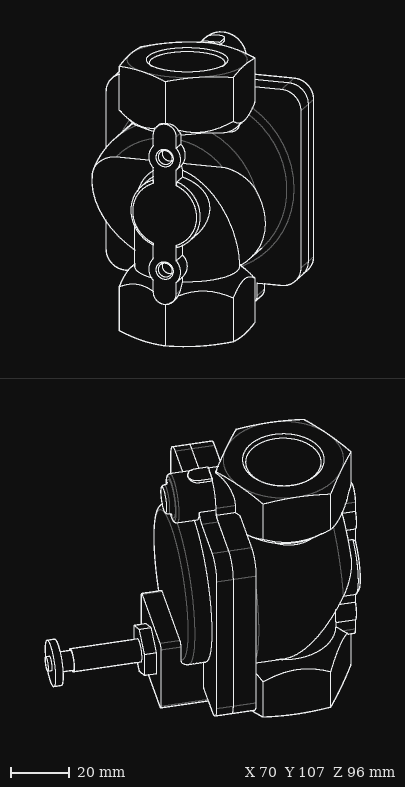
import cadquery as cq
import math


front_y = -24.3
cup_front_y = -19.2
flange_front_y = 17.5
joint_y = 25.6
cover_flange_y = 31.4
dome_y = 39.3

flange_size = 70.0
flange_corner_radius = 7.0
flange_top_z = flange_size / 2

cup_radius = 30.6
cup_edge_radius = 4.9
cup_blend_radius = 1.9
slant_angle = 30.0
slant_top_z = 17.1

pipe_radius = 17.9
pipe_length = 96.0
pipe_half_length = pipe_length / 2
hex_half_angle = 30.0
hex_flats = 41.0
hex_corners = hex_flats / math.cos(math.radians(hex_half_angle))
hex_neck_z = 25.7
end_bevel_angle = 15.0
bore_diameter = 24.0
thread_diameter = 25.7
mouth_diameter = 27.8
mouth_depth = (mouth_diameter - thread_diameter) / 2

rib_width = 8.2
rib_length = 64.3
lobe_radius = 5.7
lobe_spacing = 40.1
center_boss_radius = 12.4
center_boss_bevel = 1.0
rib_back_y = -6.4
screw_hole_diameter = 4.9
screw_hole_depth = 6.4
screw_hole_bevel = 0.6
drill_tip_angle = 118.0

pilot_z = 38.1
pilot_radius = 17.0 / 2
pilot_edge_radius = 0.9
plug_radius = 5.0
plug_tip_diameter = 9.0
plug_flare = 1.6
plug_height = 2.6
pad_width = 6.4
pad_end_y = 33.4
pad_top_z = 47.0
web_half_width = 12.1
web_top_z = 37.3

dome_radius = 27.8
dome_edge_radius = 1.9
block_width = 30.1
block_top_z = -13.8
block_bottom_z = -41.9
block_corner_radius = 1.6
block_y = 46.2
lower_tab_width = 38.5
lower_tab_bottom_z = -42.9
lower_tab_corner_radius = 3.4
tube_z = -27.0
nut_flats = 16.0
nut_y = 50.4
tube_diameter = 8.0
tube_y = 73.9
neck_diameter = 7.0
neck_y = 78.8
disc_diameter = 16.0
disc_y = 81.4
tip_diameter = 5.0
tip_y = 82.7


def sketch_plane(back_y):
    """XZ sketch plane at back_y; extruding goes toward -Y."""
    return cq.Workplane("XZ", origin=(0, back_y, 0))


def box_along_y(width, bottom_z, top_z, start_y, end_y):
    height = top_z - bottom_z
    return (sketch_plane(end_y).center(0, bottom_z + height / 2)
            .rect(width, height).extrude(end_y - start_y))


def cylinder_along_y(diameter, z, start_y, end_y):
    return sketch_plane(end_y).center(0, z).circle(diameter / 2).extrude(end_y - start_y)


def square_flange(start_y, end_y):
    return (box_along_y(flange_size, -flange_top_z, flange_top_z, start_y, end_y)
            .edges("|Y").fillet(flange_corner_radius))



def slanted_cup():
    """Round cup about Y, with its lower front cut away along a slanted plane."""
    blend_outer_radius = cup_radius + cup_blend_radius
    edge_center_radius = cup_radius - cup_edge_radius
    cup = (
        cq.Workplane("XY")
        .moveTo(0, cup_front_y)
        .lineTo(edge_center_radius, cup_front_y)
        .radiusArc((cup_radius, cup_front_y + cup_edge_radius), -cup_edge_radius)
        .lineTo(cup_radius, flange_front_y - cup_blend_radius)
        .radiusArc((blend_outer_radius, flange_front_y), cup_blend_radius)
        .lineTo(0, flange_front_y)
        .close()
        .revolve(360, (0, 0, 0), (0, 1, 0))
    )
    bottom_z = -2 * cup_radius
    slant_depth = (slant_top_z - bottom_z) * math.tan(math.radians(slant_angle))
    wedge = (
        cq.Workplane("YZ")
        .moveTo(cup_front_y, slant_top_z)
        .lineTo(cup_front_y, bottom_z)
        .lineTo(cup_front_y + slant_depth, bottom_z)
        .close()
        .extrude(2 * cup_radius, both=True)
    )
    return cup.cut(wedge)


def hex_end():
    """Upper hexagonal pipe end, coned at 45 degrees inside and bevelled outside."""
    inner_radius = hex_flats / 2
    outer_radius = hex_corners / 2
    bevel_drop = (outer_radius - inner_radius) * math.tan(math.radians(end_bevel_angle))
    prism = (
        cq.Workplane("XY", origin=(0, 0, hex_neck_z))
        .polygon(6, hex_corners).extrude(pipe_half_length - hex_neck_z)
        .rotate((0, 0, 0), (0, 0, 1), hex_half_angle)
    )
    envelope = (
        cq.Workplane("XZ")
        .moveTo(0, hex_neck_z)
        .lineTo(pipe_radius, hex_neck_z)
        .lineTo(outer_radius, hex_neck_z + outer_radius - pipe_radius)
        .lineTo(outer_radius, pipe_half_length - bevel_drop)
        .lineTo(inner_radius, pipe_half_length)
        .lineTo(0, pipe_half_length)
        .close()
        .revolve(360, (0, 0, 0), (0, 1, 0))
    )
    return prism.intersect(envelope)


def pipe_bore():
    """Through bore, tapered from each bevelled mouth down to the bore diameter."""
    bore = cq.Workplane("XY").circle(bore_diameter / 2).extrude(pipe_half_length, both=True)
    mouth = (
        cq.Workplane("XZ")
        .moveTo(0, pipe_half_length)
        .lineTo(mouth_diameter / 2, pipe_half_length)
        .lineTo(thread_diameter / 2, pipe_half_length - mouth_depth)
        .lineTo(bore_diameter / 2, hex_neck_z)
        .lineTo(0, hex_neck_z)
        .close()
        .revolve(360, (0, 0, 0), (0, 1, 0))
    )
    return bore.union(mouth).union(mouth.mirror("XY"))


def mounting_rib():
    """Upright rib with a round boss in the middle and a lobe around each screw hole."""
    depth = rib_back_y - front_y
    rib = sketch_plane(rib_back_y).slot2D(rib_length, rib_width, 90).extrude(depth)
    boss = (sketch_plane(rib_back_y).circle(center_boss_radius).extrude(depth)
            .faces("<Y").edges().chamfer(center_boss_bevel))
    rib = rib.union(boss)
    for z in (-lobe_spacing / 2, lobe_spacing / 2):
        rib = rib.union(cylinder_along_y(2 * lobe_radius, z, front_y, rib_back_y))
    return rib


def screw_hole(z):
    """Blind drilled hole with a bevelled mouth and a conical bottom."""
    radius = screw_hole_diameter / 2
    tip_depth = radius / math.tan(math.radians(drill_tip_angle / 2))
    return (
        cq.Workplane("XY")
        .moveTo(0, front_y)
        .lineTo(radius + screw_hole_bevel, front_y)
        .lineTo(radius, front_y + screw_hole_bevel)
        .lineTo(radius, front_y + screw_hole_depth - tip_depth)
        .lineTo(0, front_y + screw_hole_depth)
        .close()
        .revolve(360, (0, 0, 0), (0, 1, 0))
        .translate((0, 0, z))
    )


def pilot_tab():
    """Round-ended tab of the body flange under the pilot boss."""
    upright = box_along_y(2 * pilot_radius, 0, pilot_z, flange_front_y, joint_y)
    return upright.union(cylinder_along_y(2 * pilot_radius, pilot_z, flange_front_y, joint_y))


def lower_tab():
    """Tab of the body flange under the solenoid block."""
    return (box_along_y(lower_tab_width, lower_tab_bottom_z, 0, flange_front_y, joint_y)
            .edges("|Y and <Z").fillet(lower_tab_corner_radius))


def valve_body():
    upper_hex = hex_end()
    body = (
        slanted_cup()
        .union(square_flange(flange_front_y, joint_y))
        .union(pilot_tab())
        .union(lower_tab())
        .union(cq.Workplane("XY").circle(pipe_radius).extrude(hex_neck_z, both=True))
        .union(upper_hex)
        .union(upper_hex.mirror("XY"))
        .union(mounting_rib())
        .cut(pipe_bore())
    )
    for z in (-lobe_spacing / 2, lobe_spacing / 2):
        body = body.cut(screw_hole(z))
    return body



def dome():
    return (cylinder_along_y(2 * dome_radius, 0, joint_y, dome_y)
            .faces(">Y").edges().fillet(dome_edge_radius))


def pilot_boss():
    """Cylinder with a flared plug on its end and a flat round-ended pad on top."""
    boss = (cylinder_along_y(2 * pilot_radius, pilot_z, joint_y, dome_y)
            .faces(">Y").edges().fillet(pilot_edge_radius))
    flare_y = dome_y + plug_flare
    plug_y = dome_y + plug_height
    plug_tip_radius = plug_tip_diameter / 2
    crown_run = plug_radius - plug_tip_radius
    crown_rise = plug_y - flare_y
    crown_radius = (crown_run**2 + crown_rise**2) / (2 * crown_run)
    plug = (
        cq.Workplane("XY")
        .moveTo(0, dome_y)
        .lineTo(plug_radius + plug_flare, dome_y)
        .radiusArc((plug_radius, flare_y), plug_flare)
        .radiusArc((plug_tip_radius, plug_y), -crown_radius)
        .lineTo(0, plug_y)
        .close()
        .revolve(360, (0, 0, 0), (0, 1, 0))
        .translate((0, 0, pilot_z))
    )
    pad_half_width = pad_width / 2
    pad_round_y = pad_end_y - pad_half_width
    pad = (
        cq.Workplane("XY", origin=(0, 0, pilot_z))
        .moveTo(-pad_half_width, joint_y)
        .lineTo(-pad_half_width, pad_round_y)
        .threePointArc((0, pad_end_y), (pad_half_width, pad_round_y))
        .lineTo(pad_half_width, joint_y)
        .close()
        .extrude(pad_top_z - pilot_z)
    )
    return boss.union(plug).union(pad)


def pilot_web():
    """Web that sweeps up from the flange to the sides of the pilot boss."""
    rise = web_top_z - flange_top_z
    web_top_half_width = math.sqrt(pilot_radius**2 - (pilot_z - web_top_z)**2)
    run = web_half_width - web_top_half_width
    sweep_radius = (run**2 + rise**2) / (2 * rise)
    return (
        sketch_plane(cover_flange_y)
        .moveTo(-web_half_width, 0)
        .lineTo(-web_half_width, flange_top_z)
        .radiusArc((-web_top_half_width, web_top_z), -sweep_radius)
        .lineTo(web_top_half_width, web_top_z)
        .radiusArc((web_half_width, flange_top_z), -sweep_radius)
        .lineTo(web_half_width, 0)
        .close()
        .extrude(cover_flange_y - joint_y)
    )


def solenoid_block():
    return (box_along_y(block_width, block_bottom_z, block_top_z, joint_y, block_y)
            .edges("|Y").fillet(block_corner_radius))


def solenoid_tube():
    """Hexagonal nut, stepped tube, end disc and tip, one behind the other along Y."""
    nut_corners = nut_flats / math.cos(math.radians(hex_half_angle))
    tube = (
        sketch_plane(nut_y).center(0, tube_z)
        .transformed(rotate=(0, 0, hex_half_angle)).polygon(6, nut_corners).extrude(nut_y - block_y)
    )
    steps = (
        (tube_diameter, nut_y, tube_y),
        (neck_diameter, tube_y, neck_y),
        (disc_diameter, neck_y, disc_y),
        (tip_diameter, disc_y, tip_y),
    )
    for diameter, start_y, end_y in steps:
        tube = tube.union(cylinder_along_y(diameter, tube_z, start_y, end_y))
    return tube


def valve_cover():
    return (
        square_flange(joint_y, cover_flange_y)
        .union(dome())
        .union(pilot_web())
        .union(pilot_boss())
        .union(solenoid_block())
        .union(solenoid_tube())
    )


body = valve_body()
cover = valve_cover()
result = cq.Compound.makeCompound([body.val(), cover.val()])